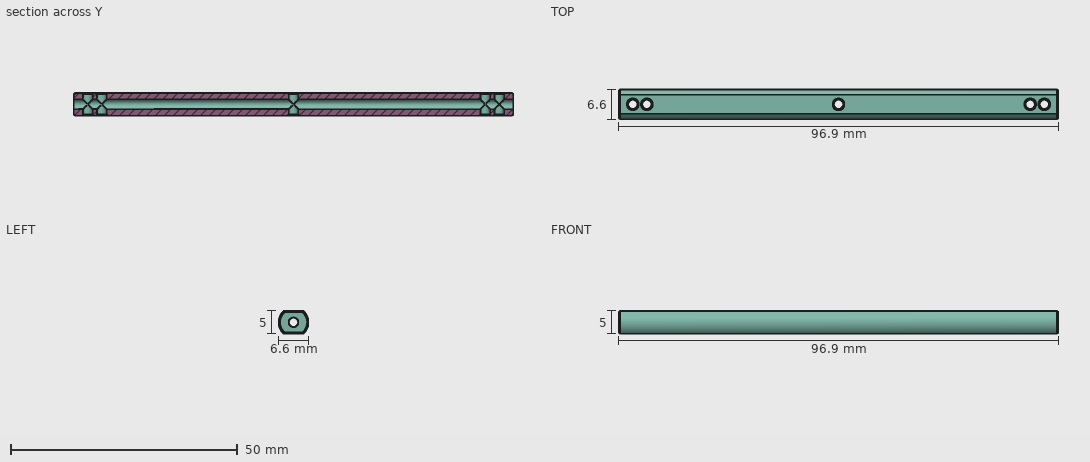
import cadquery as cq

length = 96.9
rod_diameter = 6.6
flat_height = 5.0
end_chamfer = 0.31

hole_diameter = 2.0
end_hole_inset = 3.1
hole_spacing = 3.1
cross_hole_chamfer = 0.3


def flatted_rod():
    bar = cq.Workplane("YZ").circle(rod_diameter / 2).extrude(length / 2, both=True)
    slab = cq.Workplane("XY").box(length, rod_diameter, flat_height)
    return bar.intersect(slab).faces("<X or >X").chamfer(end_chamfer)


def axial_bore():
    return cq.Workplane("YZ").circle(hole_diameter / 2).extrude(length / 2, both=True)


def cross_hole(x):
    """Vertical through hole with a chamfered mouth on each flat."""
    half_height = flat_height / 2
    radius = hole_diameter / 2
    mouth_radius = radius + cross_hole_chamfer
    shoulder = half_height - cross_hole_chamfer
    profile = (
        cq.Workplane("XZ")
        .moveTo(0, -half_height)
        .lineTo(mouth_radius, -half_height)
        .lineTo(radius, -shoulder)
        .lineTo(radius, shoulder)
        .lineTo(mouth_radius, half_height)
        .lineTo(0, half_height)
        .close()
    )
    return profile.revolve(360, (0, 0, 0), (0, 1, 0)).translate((x, 0, 0))


outer_hole_x = length / 2 - end_hole_inset
inner_hole_x = outer_hole_x - hole_spacing

result = flatted_rod().cut(axial_bore())
for hole_x in (-outer_hole_x, -inner_hole_x, 0, inner_hole_x, outer_hole_x):
    result = result.cut(cross_hole(hole_x))